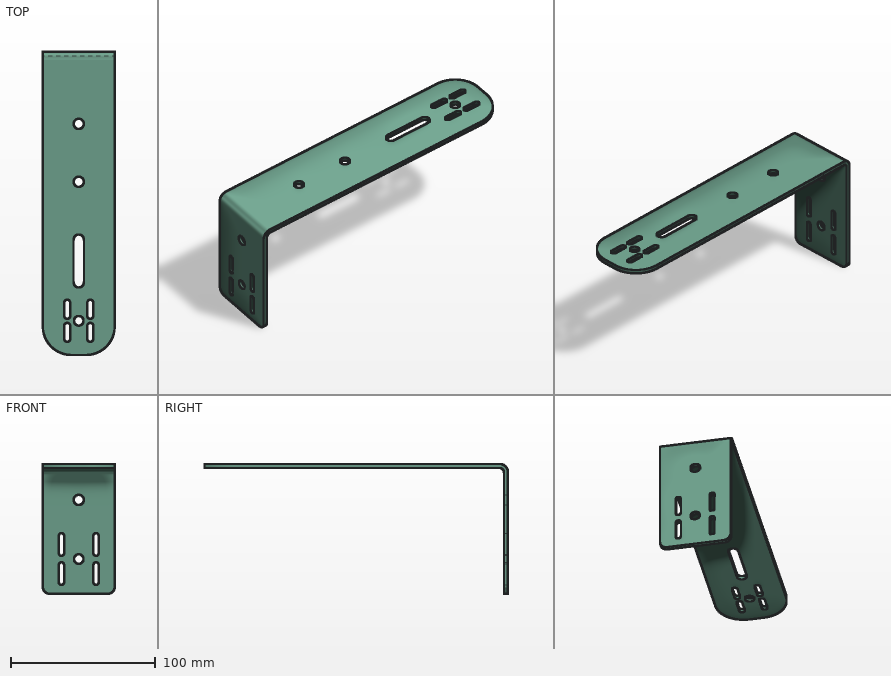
import cadquery as cq

width = 50.0
length = 210.0
height = 90.0
thickness = 3.0

bend_inner_radius = 3.0
bend_outer_radius = bend_inner_radius + thickness
arm_corner_radius = 20.0
flange_corner_radius = 5.0

mount_hole_diameter = 7.0
arm_hole_positions = (120.0, 160.0)
long_slot_position = 65.0
long_slot_length = 36.5
arm_pattern_position = 23.7
arm_pattern_pitch = 16.0
arm_slot_length = 13.0
arm_slot_width = 4.0

flange_hole_position = height - 25.0
flange_pattern_position = 24.2
flange_pattern_pitch_x = 24.0
flange_pattern_pitch_z = 20.2
flange_slot_length = 15.5
flange_slot_width = 3.5

pattern_hole_diameter = 6.5


def bent_plate():
    """L-shaped plate: the arm lies on top, the flange hangs at the +Y end."""
    profile = (
        cq.Workplane("YZ")
        .polyline([
            (0, height),
            (length, height),
            (length, 0),
            (length - thickness, 0),
            (length - thickness, height - thickness),
            (0, height - thickness),
        ])
        .close()
    )
    plate = profile.extrude(width / 2, both=True)
    plate = plate.edges("|X and >Y and >Z").fillet(bend_outer_radius)
    inner_bend_edge = cq.NearestToPointSelector((0, length - thickness, height - thickness))
    plate = plate.edges("|X").edges(inner_bend_edge).fillet(bend_inner_radius)
    plate = plate.faces("<Y").edges("|Z").fillet(arm_corner_radius)
    return plate.faces("<Z").edges("|Y").fillet(flange_corner_radius)


def slot_group(plane, position, pitch_across, pitch_along, slot_length, slot_width):
    """Cutters for four slots around a central hole, on the plate centreline."""
    centre = plane.center(0, position)
    slots = (
        centre.rarray(pitch_across, pitch_along, 2, 2)
        .slot2D(slot_length, slot_width, 90)
        .extrude(thickness)
    )
    hole = centre.circle(pattern_hole_diameter / 2).extrude(thickness)
    return slots.union(hole)


def arm_cutters():
    plane = cq.Workplane("XY", origin=(0, 0, height - thickness))
    holes = (
        plane.pushPoints([(0, y) for y in arm_hole_positions])
        .circle(mount_hole_diameter / 2)
        .extrude(thickness)
    )
    long_slot = (
        plane.center(0, long_slot_position)
        .slot2D(long_slot_length, mount_hole_diameter, 90)
        .extrude(thickness)
    )
    group = slot_group(
        plane, arm_pattern_position, arm_pattern_pitch, arm_pattern_pitch,
        arm_slot_length, arm_slot_width,
    )
    return holes.union(long_slot).union(group)


def flange_cutters():
    plane = cq.Workplane("XZ", origin=(0, length, 0))
    hole = (
        plane.center(0, flange_hole_position)
        .circle(mount_hole_diameter / 2)
        .extrude(thickness)
    )
    group = slot_group(
        plane, flange_pattern_position, flange_pattern_pitch_x, flange_pattern_pitch_z,
        flange_slot_length, flange_slot_width,
    )
    return hole.union(group)


result = bent_plate().cut(arm_cutters()).cut(flange_cutters())